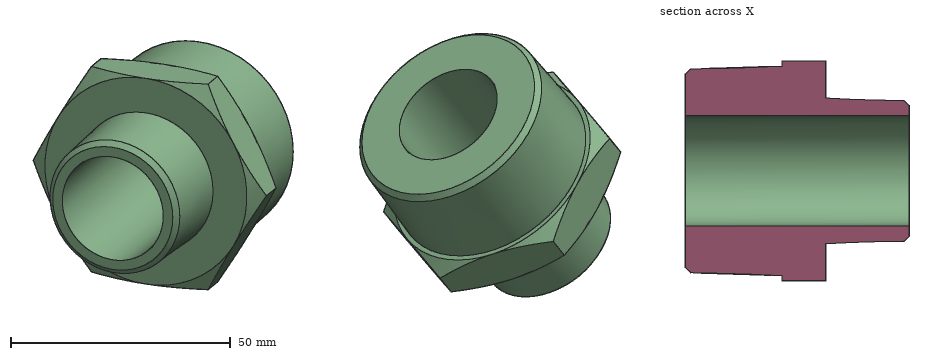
import cadquery as cq
import math

corner_width = 57.75
flat_width = corner_width * math.cos(math.radians(30))
hex_length = 10.0
hex_chamfer_angle = 30.0

taper = 1 / 16
large_length = 22.0
large_root_diameter = 47.75
small_length = 19.0
small_root_diameter = 33.25
end_chamfer = 1.2

bore_diameter = 25.0

large_end_y = large_length + hex_length / 2
small_end_y = -(small_length + hex_length / 2)


def revolve_about_y(radius_and_y):
    """Solid of revolution about Y from a closed profile of (radius, y) points."""
    profile = cq.Workplane("XY").polyline(radius_and_y).close()
    return profile.revolve(360, (0, 0, 0), (0, 1, 0))


def hexagon_collar():
    """Hexagonal prism with its corners turned down conically on both faces."""
    prism = (
        cq.Workplane("XZ")
        .polygon(6, corner_width)
        .extrude(hex_length / 2, both=True)
    )
    face_radius = flat_width / 2
    corner_radius = corner_width / 2
    chamfer_depth = (corner_radius - face_radius) * math.tan(math.radians(hex_chamfer_angle))
    edge_y = hex_length / 2 - chamfer_depth
    envelope = revolve_about_y([
        (0, -hex_length / 2),
        (face_radius, -hex_length / 2),
        (corner_radius, -edge_y),
        (corner_radius, edge_y),
        (face_radius, hex_length / 2),
        (0, hex_length / 2),
    ])
    return prism.intersect(envelope)


def tapered_end(root_diameter, end_y):
    """Cone frustum from the middle of the collar to end_y, chamfered at its tip."""
    direction = math.copysign(1, end_y)
    root_y = direction * hex_length / 2
    root_radius = root_diameter / 2
    chamfer_y = end_y - direction * end_chamfer
    chamfer_radius = root_radius - abs(chamfer_y - root_y) * taper / 2
    return revolve_about_y([
        (0, 0),
        (root_radius, 0),
        (root_radius, root_y),
        (chamfer_radius, chamfer_y),
        (chamfer_radius - end_chamfer, end_y),
        (0, end_y),
    ])


def bore():
    """Straight passage through the whole length."""
    radius = bore_diameter / 2
    return revolve_about_y([
        (0, small_end_y),
        (radius, small_end_y),
        (radius, large_end_y),
        (0, large_end_y),
    ])


result = (
    hexagon_collar()
    .union(tapered_end(large_root_diameter, large_end_y))
    .union(tapered_end(small_root_diameter, small_end_y))
    .cut(bore())
)